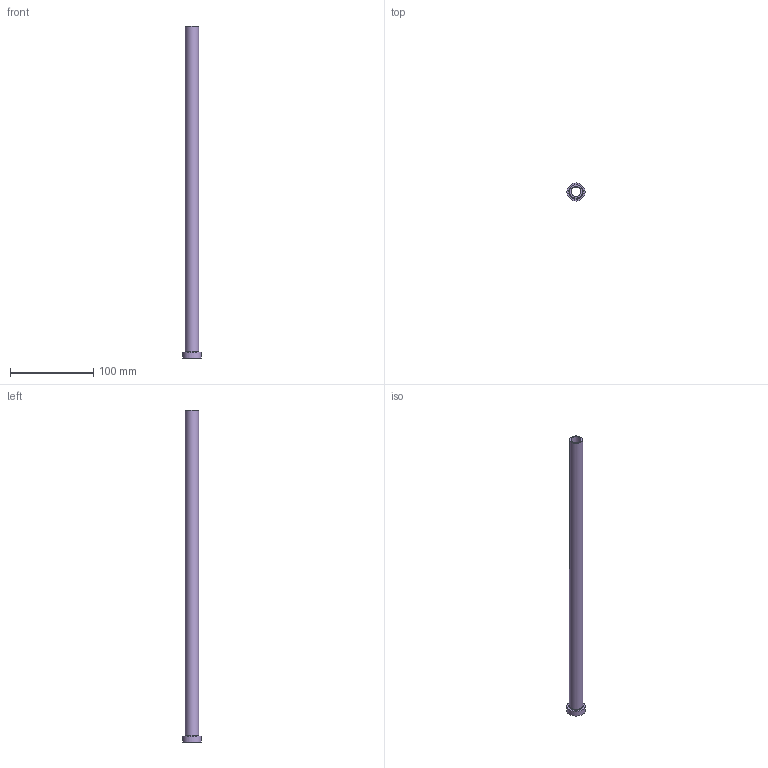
import cadquery as cq

total_length = 400.0
shank_diameter = 16.0
head_diameter = 22.0
head_thickness = 7.0
bore_diameter = 12.0
neck_fillet_radius = 0.6

shank_radius = shank_diameter / 2
head_radius = head_diameter / 2
bore_radius = bore_diameter / 2


def headed_sleeve():
    """Revolve the half section about Z: head at the bottom, shank above, bore right through."""
    neck_fillet_top = head_thickness + neck_fillet_radius
    neck_fillet_edge = shank_radius + neck_fillet_radius
    half_section = (
        cq.Workplane("XZ")
        .moveTo(-bore_radius, 0)
        .lineTo(-head_radius, 0)
        .lineTo(-head_radius, head_thickness)
        .lineTo(-neck_fillet_edge, head_thickness)
        .radiusArc((-shank_radius, neck_fillet_top), -neck_fillet_radius)
        .lineTo(-shank_radius, total_length)
        .lineTo(-bore_radius, total_length)
        .close()
    )
    return half_section.revolve(360, (0, 0, 0), (0, 1, 0))


result = headed_sleeve()